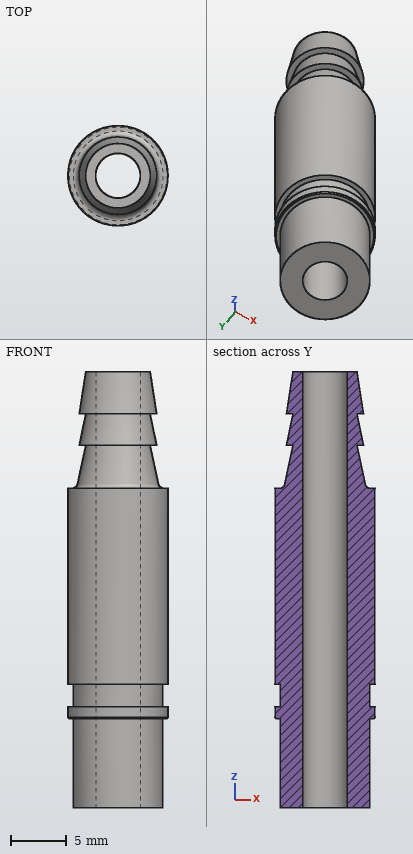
import cadquery as cq

length = 39.05
body_radius = 4.5
bore_radius = 2.0

spigot_radius = 4.02
collar_bottom = 7.95
collar_thickness = 1.1
collar_edge_chamfer = 0.1
groove_width = 2.0
collar_top = collar_bottom + collar_thickness
body_bottom = collar_top + groove_width

shoulder_height = 28.62
barb_neck_radius = 2.9
barb_lip_radius = 3.48
upper_barb_length = 3.8
lower_barb_length = 2.8
root_base_radius = 3.7
root_fillet_radius = 0.45
upper_barb_bottom = length - upper_barb_length
lower_barb_bottom = upper_barb_bottom - lower_barb_length


def cylinder(bottom, top, radius):
    return cq.Workplane("XY").workplane(offset=bottom).circle(radius).extrude(top - bottom)


def taper(bottom, top, bottom_radius, top_radius):
    """Solid cone frustum that narrows upward."""
    return cq.Workplane("XY").add(
        cq.Solid.makeCone(bottom_radius, top_radius, top - bottom, pnt=cq.Vector(0, 0, bottom))
    )


def plug_end():
    spigot = cylinder(0, body_bottom, spigot_radius)
    collar = cylinder(collar_bottom, collar_top, body_radius)
    collar = collar.faces("<Z").edges().chamfer(collar_edge_chamfer)
    return spigot.union(collar)


def body_with_root():
    body = cylinder(body_bottom, shoulder_height, body_radius)
    root = taper(shoulder_height, lower_barb_bottom, root_base_radius, barb_neck_radius)
    joined = body.union(root)
    shoulder_corner = cq.selectors.RadiusNthSelector(1)
    return joined.edges("%CIRCLE").edges(shoulder_corner).fillet(root_fillet_radius)


def barbs():
    lower = taper(lower_barb_bottom, upper_barb_bottom, barb_lip_radius, barb_neck_radius)
    upper = taper(upper_barb_bottom, length, barb_lip_radius, barb_neck_radius)
    return lower.union(upper)


outside = plug_end().union(body_with_root()).union(barbs())
result = outside.cut(cylinder(0, length, bore_radius))